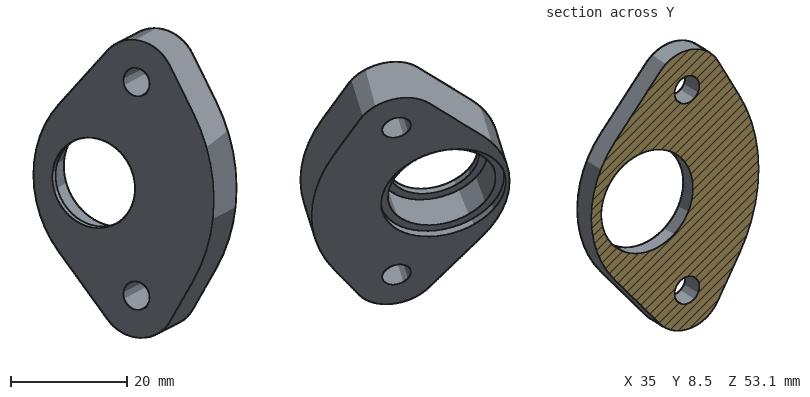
import cadquery as cq
import math

thickness = 8.5
bolt_spacing = 38.1
bolt_diameter = 5.05
ear_radius = 7.5
left_edge_x = -20.0
left_radius = 20.0
right_edge_x = 15.0
right_radius = 30.0

bore_x = -8.3
lip_diameter = 16.0
lip_depth = 1.2
seat_diameter = 19.0
back_diameter = 22.0
back_depth = 1.3

ear_z = bolt_spacing / 2


def flank_angle(center_x, side_radius, side):
    """Direction of the normal to the straight flank that touches a side arc and the upper ear.

    side is -1 for the left flank and +1 for the right flank.
    """
    center_distance = math.hypot(center_x, ear_z)
    ear_direction = math.atan2(ear_z, -center_x)
    return ear_direction - side * math.acos((side_radius - ear_radius) / center_distance)


def polar(center_x, center_z, radius, angle):
    return (center_x + radius * math.cos(angle), center_z + radius * math.sin(angle))


def mirrored(point):
    return (point[0], -point[1])


def make_plate():
    left_center_x = left_edge_x + left_radius
    right_center_x = right_edge_x - right_radius
    left_angle = flank_angle(left_center_x, left_radius, -1)
    right_angle = flank_angle(right_center_x, right_radius, 1)

    left_side = polar(left_center_x, 0, left_radius, left_angle)
    left_ear = polar(0, ear_z, ear_radius, left_angle)
    right_ear = polar(0, ear_z, ear_radius, right_angle)
    right_side = polar(right_center_x, 0, right_radius, right_angle)
    ear_tip = (0, ear_z + ear_radius)

    return (
        cq.Workplane("XZ")
        .moveTo(*left_side)
        .lineTo(*left_ear)
        .threePointArc(ear_tip, right_ear)
        .lineTo(*right_side)
        .threePointArc((right_edge_x, 0), mirrored(right_side))
        .lineTo(*mirrored(right_ear))
        .threePointArc(mirrored(ear_tip), mirrored(left_ear))
        .lineTo(*mirrored(left_side))
        .threePointArc((left_edge_x, 0), left_side)
        .close()
        .extrude(-thickness)
    )


def hole_cutter(x, z, diameter, start_depth):
    """Cylinder running from start_depth behind the front face out through the back face."""
    return (
        cq.Workplane("XZ", origin=(0, start_depth, 0))
        .center(x, z)
        .circle(diameter / 2)
        .extrude(start_depth - thickness)
    )


def cut_bolt_holes(plate):
    for z in (-ear_z, ear_z):
        plate = plate.cut(hole_cutter(0, z, bolt_diameter, 0))
    return plate


def cut_stepped_bore(plate):
    plate = plate.cut(hole_cutter(bore_x, 0, lip_diameter, 0))
    plate = plate.cut(hole_cutter(bore_x, 0, seat_diameter, lip_depth))
    return plate.cut(hole_cutter(bore_x, 0, back_diameter, thickness - back_depth))


result = cut_stepped_bore(cut_bolt_holes(make_plate()))